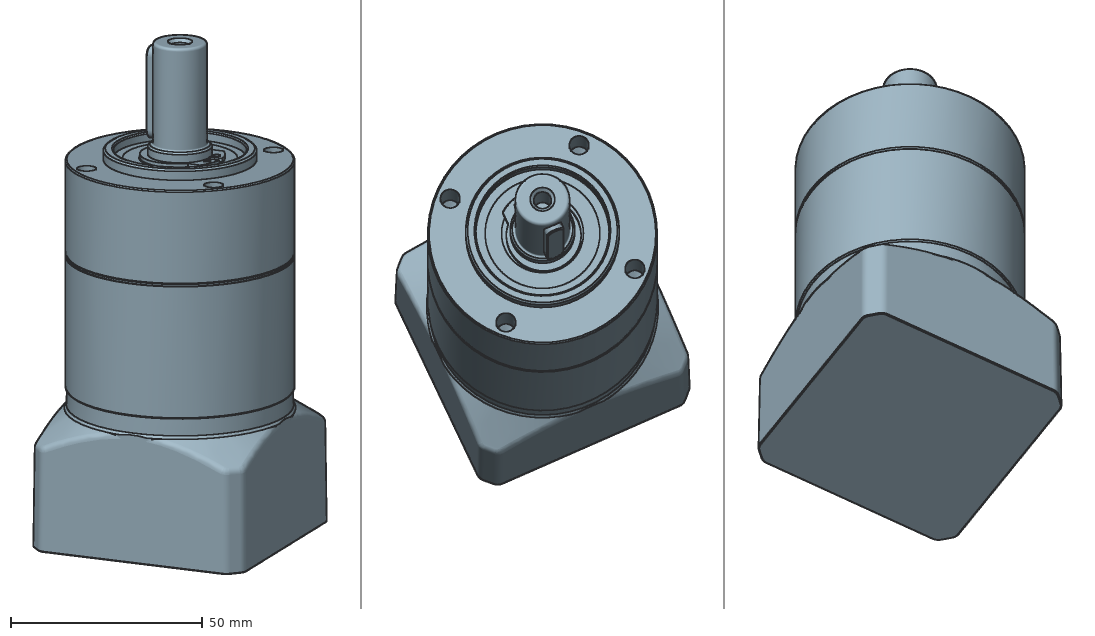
import cadquery as cq
import math


adapter_top_z = 39.8
flange_bottom_z = 76.4
flange_top_z = 102.0
pilot_top_z = 104.9
shoulder_top_z = 106.1
shaft_top_z = 134.0

block_half_width = 30.4
block_draft = 0.6
block_turn = 1.2
block_blank_height = 40.2
corner_chamfer = 3.8
corner_fillet = 3.0
foot_chamfer = 0.3
cone_slope = 33.5
cone_edge_fillet = 2.0
collar_top_radius = 29.6
collar_foot_radius = 29.7
flare_radius = 30.3
flare_top_z = 35.2
flare_bottom_z = 34.5
collar_root_z = 20.1

body_radius = 30.0
body_chamfer = 0.4
gap_neck_radius = 29.6
gap_neck_height = 0.5
pilot_radius = 20.1
pilot_rim_chamfer = 0.5
pilot_bore_chamfer = 0.4
mount_hole_radius = 2.5
mount_hole_offset = 18.4
mount_hole_depth = 10.0
drill_point_angle = 118.0

bearing_radius = 17.4
bearing_width = 10.0
bearing_recess = 2.5
outer_ring_bore = 15.0
inner_ring_radius = 10.7
bearing_top_z = pilot_top_z - bearing_recess
bearing_bottom_z = bearing_top_z - bearing_width

shaft_radius = 7.1
shaft_end_fillet = 0.8
journal_radius = 8.5
journal_chamfer = 0.5
shoulder_fillet = 0.4
groove_radius = 8.0
centre_hole_radius = 2.3
centre_hole_depth = 10.7
centre_countersink = 1.0

key_width = 5.0
key_length = 25.0
key_height = 5.0
key_outer_x = -8.7
key_bottom_z = 106.9
key_chamfer = 0.34

circlip_thickness = 1.0
circlip_band_radius = 9.8
circlip_band_shift = -0.8
circlip_lug_radius = 11.8
circlip_lug_half_width = 7.4
circlip_lug_start_x = 5.8
circlip_gap = 1.7
circlip_hole_radius = 1.0
circlip_hole_x = 9.2
circlip_hole_y = 3.0


smallest_circle = cq.selectors.RadiusNthSelector(0)


def disc(radius, bottom_z, top_z):
    return cq.Workplane("XY").workplane(offset=bottom_z).circle(radius).extrude(top_z - bottom_z)


def ring(outer_radius, inner_radius, bottom_z, top_z):
    return disc(outer_radius, bottom_z, top_z).cut(disc(inner_radius, bottom_z, top_z))


def revolve_about_z(profile):
    """Revolve an XZ profile, X being the radius, about the gearbox axis."""
    return profile.close().revolve(360, (0, 0, 0), (0, 1, 0))


def make_adapter():
    width = 2 * block_half_width
    block = cq.Workplane("XY").rect(width, width).extrude(block_blank_height, taper=block_draft)
    block = block.edges("not #Z").chamfer(corner_chamfer)
    block = block.edges("not #Z").fillet(corner_fillet)

    slope = math.tan(math.radians(cone_slope))
    cone_base_radius = flare_radius + flare_bottom_z / slope
    cone_peak_z = flare_bottom_z + flare_radius * slope
    cone = revolve_about_z(
        cq.Workplane("XZ").moveTo(0, 0).lineTo(cone_base_radius, 0).lineTo(0, cone_peak_z)
    )
    cone_block = block.intersect(cone)
    cone_block = cone_block.faces("<Z").edges().chamfer(foot_chamfer)
    cone_block = cone_block.faces("%CONE").edges().fillet(cone_edge_fillet)

    collar = revolve_about_z(
        cq.Workplane("XZ")
        .moveTo(0, collar_root_z)
        .lineTo(collar_foot_radius, collar_root_z)
        .lineTo(collar_foot_radius, flare_top_z)
        .lineTo(collar_top_radius, adapter_top_z)
        .lineTo(0, adapter_top_z)
    )
    flare = revolve_about_z(
        cq.Workplane("XZ")
        .moveTo(0, collar_root_z)
        .lineTo(flare_radius, collar_root_z)
        .lineTo(flare_radius, flare_bottom_z)
        .lineTo(collar_foot_radius, flare_top_z)
        .lineTo(0, flare_top_z)
    ).intersect(block)
    below_flare_top = disc(cone_base_radius, 0, flare_top_z)
    adapter = cone_block.intersect(below_flare_top).union(flare).union(collar)
    return adapter.rotate((0, 0, 0), (0, 0, 1), block_turn)


def make_ring_gear():
    neck_bottom_z = flange_bottom_z - gap_neck_height
    body = disc(body_radius, adapter_top_z, neck_bottom_z)
    body = body.faces("<Z").edges().chamfer(body_chamfer)
    return body.union(disc(gap_neck_radius, neck_bottom_z, flange_bottom_z))


def make_mount_hole():
    """Blind drilled hole with a conical bottom, on the gearbox axis."""
    floor_z = flange_top_z - mount_hole_depth
    point_depth = mount_hole_radius / math.tan(math.radians(drill_point_angle / 2))
    return revolve_about_z(
        cq.Workplane("XZ")
        .moveTo(0, floor_z - point_depth)
        .lineTo(mount_hole_radius, floor_z)
        .lineTo(mount_hole_radius, flange_top_z)
        .lineTo(0, flange_top_z)
    )


def make_flange():
    flange = disc(body_radius, flange_bottom_z, flange_top_z).edges().chamfer(body_chamfer)
    flange = flange.union(disc(pilot_radius, flange_bottom_z, pilot_top_z))
    flange = flange.faces(">Z").edges().chamfer(pilot_rim_chamfer)
    flange = flange.cut(disc(bearing_radius, bearing_bottom_z, pilot_top_z))
    flange = flange.faces(">Z").edges(smallest_circle).chamfer(pilot_bore_chamfer)
    hole = make_mount_hole()
    for side_x in (-1, 1):
        for side_y in (-1, 1):
            flange = flange.cut(hole.translate((side_x * mount_hole_offset, side_y * mount_hole_offset, 0)))
    return flange


def make_bearing_ring(outer_radius, inner_radius):
    return ring(outer_radius, inner_radius, bearing_bottom_z, bearing_top_z)


def make_key():
    key_middle_z = key_bottom_z + key_length / 2
    key = (
        cq.Workplane("YZ")
        .workplane(offset=key_outer_x)
        .center(0, key_middle_z)
        .slot2D(key_length, key_width, 90)
        .extrude(key_height)
    )
    return key.faces("<X").edges().chamfer(key_chamfer)


def make_shaft(key):
    journal = disc(journal_radius, bearing_bottom_z, shoulder_top_z)
    journal = journal.faces(">Z").edges().chamfer(journal_chamfer)
    shaft = journal.union(disc(shaft_radius, bearing_bottom_z, shaft_top_z))
    shaft = shaft.faces(">Z").edges().fillet(shaft_end_fillet)
    shoulder_face = shaft.faces(cq.selectors.NearestToPointSelector((0, 0, shoulder_top_z)))
    shaft = shoulder_face.edges(smallest_circle).fillet(shoulder_fillet)
    groove = ring(journal_radius, groove_radius, bearing_top_z, bearing_top_z + circlip_thickness)
    shaft = shaft.cut(groove)
    shaft = shaft.cut(disc(centre_hole_radius, shaft_top_z - centre_hole_depth, shaft_top_z))
    shaft = shaft.faces(">Z").edges(smallest_circle).chamfer(centre_countersink)
    return shaft.cut(key)


def make_circlip():
    top_z = bearing_top_z + circlip_thickness
    band = disc(circlip_band_radius, bearing_top_z, top_z).translate((circlip_band_shift, 0, 0))
    base = cq.Workplane("XY").workplane(offset=bearing_top_z)
    lug_length = circlip_lug_radius - circlip_lug_start_x
    lugs = (
        base.center(circlip_lug_start_x + lug_length / 2, 0)
        .rect(lug_length, 2 * circlip_lug_half_width)
        .extrude(circlip_thickness)
        .intersect(disc(circlip_lug_radius, bearing_top_z, top_z))
    )
    gap = (
        base.center(circlip_lug_radius / 2, 0)
        .rect(circlip_lug_radius, circlip_gap)
        .extrude(circlip_thickness)
    )
    plier_holes = (
        base.pushPoints([(circlip_hole_x, -circlip_hole_y), (circlip_hole_x, circlip_hole_y)])
        .circle(circlip_hole_radius)
        .extrude(circlip_thickness)
    )
    circlip = band.union(lugs).cut(gap).cut(plier_holes)
    return circlip.cut(disc(groove_radius, bearing_top_z, top_z))


adapter = make_adapter()
ring_gear = make_ring_gear()
flange = make_flange()
bearing_outer_ring = make_bearing_ring(bearing_radius, outer_ring_bore)
bearing_seal = make_bearing_ring(outer_ring_bore, inner_ring_radius)
bearing_inner_ring = make_bearing_ring(inner_ring_radius, journal_radius)
key = make_key()
shaft = make_shaft(key)
circlip = make_circlip()

result = cq.Compound.makeCompound(
    [
        adapter.val(),
        ring_gear.val(),
        flange.val(),
        bearing_outer_ring.val(),
        bearing_seal.val(),
        bearing_inner_ring.val(),
        shaft.val(),
        key.val(),
        circlip.val(),
    ]
)